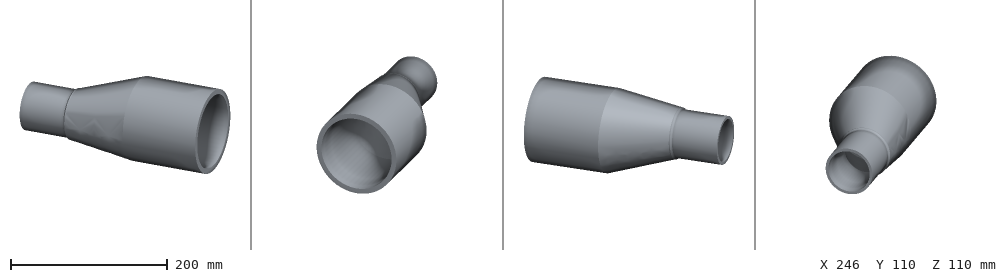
import cadquery as cq

total_length = 246.0
large_diameter = 110.0
large_wall = 6.6
spigot_diameter = 63.0
spigot_wall = 3.7
collar_diameter = 67.5

spigot_end = 61.0
collar_start = 63.2
cone_start = 64.7
cone_end = 145.0

spigot_offset = -(large_diameter - collar_diameter) / 2

large_bore = large_diameter - 2 * large_wall
spigot_bore = spigot_diameter - 2 * spigot_wall


def section(start, end, start_diameter, end_diameter, start_y, end_y):
    """Solid between two circles normal to X, straight or tapered."""
    return (
        cq.Workplane("YZ", origin=(start, start_y, 0))
        .circle(start_diameter / 2)
        .workplane(offset=end - start)
        .center(end_y - start_y, 0)
        .circle(end_diameter / 2)
        .loft(ruled=True, combine=True)
    )


def pipe(start, end, diameter, axis_y):
    """Solid cylinder along X."""
    return cq.Workplane("YZ", origin=(start, axis_y, 0)).circle(diameter / 2).extrude(end - start)


spigot = pipe(0, spigot_end, spigot_diameter, spigot_offset)
bevel = section(
    spigot_end, collar_start, spigot_diameter, collar_diameter, spigot_offset, spigot_offset
)
collar = pipe(collar_start, cone_start, collar_diameter, spigot_offset)
cone = section(cone_start, cone_end, collar_diameter, large_diameter, spigot_offset, 0)
large_pipe = pipe(cone_end, total_length, large_diameter, 0)
body = spigot.union(bevel).union(collar).union(cone).union(large_pipe)

spigot_hole = pipe(0, cone_start, spigot_bore, spigot_offset)
cone_hole = section(cone_start, cone_end, spigot_bore, large_bore, spigot_offset, 0)
large_hole = pipe(cone_end, total_length, large_bore, 0)

result = body.cut(spigot_hole).cut(cone_hole).cut(large_hole)